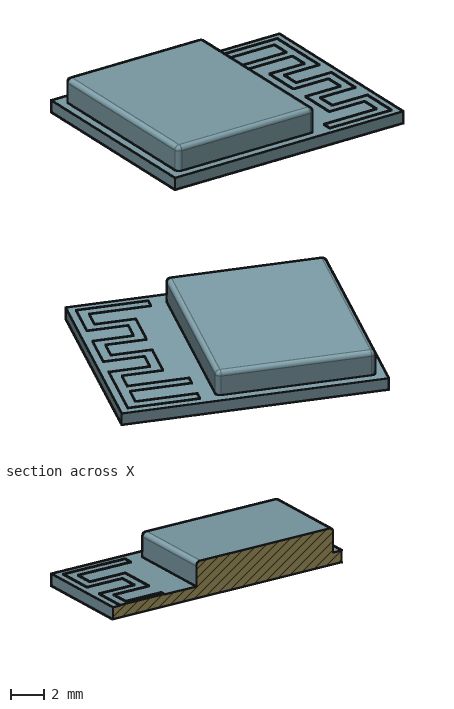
import cadquery as cq

board_width = 13.2
board_length = 16.6
board_thickness = 0.8

total_height = 2.4
shield_margin = 0.61
shield_length = 9.95
shield_radius = 0.3
shield_width = board_width - 2 * shield_margin
shield_height = total_height - board_thickness

antenna_span = 12.17
antenna_columns = 19
antenna_height = 0.03
trace_width = antenna_span / antenna_columns
antenna_margin = (board_width - antenna_span) / 2
antenna_left = -antenna_span / 2
antenna_back = board_length / 2 - antenna_margin

back_row = 0
meander_row = 4
meander_depth = meander_row + 1
leg_depth = 7

antenna_segments = [
    (0, back_row, 1, leg_depth),
    (0, back_row, 7, 1),
    (3, back_row, 1, leg_depth),
    (6, back_row, 1, meander_depth),
    (6, meander_row, 4, 1),
    (9, back_row, 1, meander_depth),
    (9, back_row, 4, 1),
    (12, back_row, 1, meander_depth),
    (12, meander_row, 4, 1),
    (15, back_row, 1, meander_depth),
    (15, back_row, 4, 1),
    (18, back_row, 1, leg_depth),
]


def make_board():
    return cq.Workplane("XY").box(
        board_width, board_length, board_thickness, centered=(True, True, False)
    )


def make_shield():
    center_y = -board_length / 2 + shield_margin + shield_length / 2
    return (
        cq.Workplane("XY", origin=(0, center_y, board_thickness))
        .rect(shield_width, shield_length)
        .extrude(shield_height)
        .edges("|Z or >Z")
        .fillet(shield_radius)
    )


def make_antenna_segment(column, row, columns, rows):
    left = antenna_left + column * trace_width
    front = antenna_back - (row + rows) * trace_width
    return cq.Workplane("XY", origin=(left, front, board_thickness)).box(
        columns * trace_width, rows * trace_width, antenna_height, centered=False
    )


result = make_board().union(make_shield())
for segment in antenna_segments:
    result = result.union(make_antenna_segment(*segment))
result = result.clean()